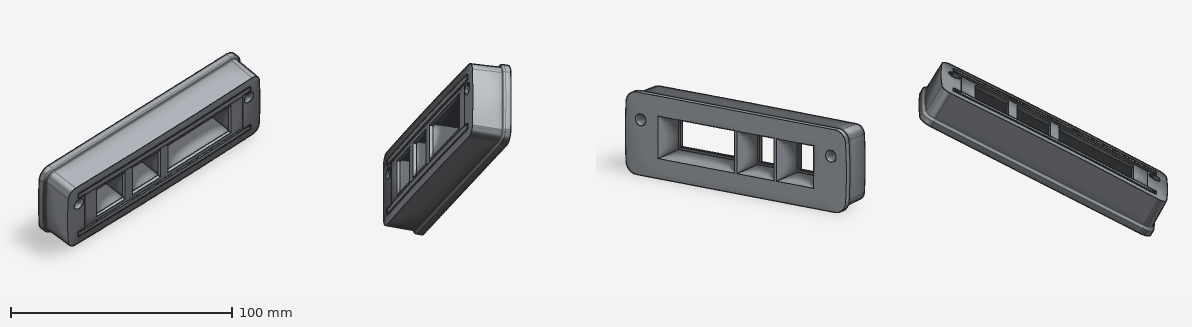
import cadquery as cq
import math

LENGTH = 120.0
HEIGHT = 39.0
DEPTH = 19.0

FLANGE_DEPTH = 3.6
FLANGE_ROUND = 1.0
CORNER_RADIUS = 5.8
END_BULGE = 0.8
BODY_INSET = 1.3
BODY_COVE = 0.3
BODY_DRAFT = 1.2

STRIP_RISE = 0.5
CROWN_TOP = DEPTH - STRIP_RISE
CROWN_DROP = 0.6
STRIP_LENGTH = 104.4
STRIP_INNER_Z = 10.7
STRIP_OUTER_Z = 13.5
RECESS_LENGTH = 96.0
RECESS_DEPTH = 0.4

POCKET_HEIGHT = 20.0
ROW_LENGTH = 84.4
POCKET_GAP = 1.5
LEDGE_X = 16.3
LEDGE_WIDTH = 1.5
WALL_SLOPE = 0.2
PARTITION_SLOPE = 0.8
LONG_POCKET_LENGTH = ROW_LENGTH - 2 * (POCKET_HEIGHT + POCKET_GAP)
POCKET_LENGTHS = (LONG_POCKET_LENGTH, POCKET_HEIGHT, POCKET_HEIGHT)
LOW_WALL_SLOPES = (PARTITION_SLOPE, PARTITION_SLOPE, WALL_SLOPE)

HOLE_DIAMETER = 5.6
HOLE_Y = 51.6
HOLE_Z = 6.7


def bulged_prism(start_x, depth, inset, draft=None):
    """Rounded slab with flat long sides and outward-curved ends."""
    end_y = LENGTH / 2 - inset
    corner_y = end_y - END_BULGE
    top_z = HEIGHT / 2 - inset
    outline = (
        cq.Workplane("YZ", origin=(start_x, 0, 0))
        .moveTo(-corner_y, top_z)
        .lineTo(corner_y, top_z)
        .threePointArc((end_y, 0), (corner_y, -top_z))
        .lineTo(-corner_y, -top_z)
        .threePointArc((-end_y, 0), (-corner_y, top_z))
        .close()
    )
    slab = outline.extrude(depth, taper=draft)
    front_to_back = slab.edges("not(<X or >X)")
    return front_to_back.fillet(CORNER_RADIUS - inset)


def crowned_block(length, low_z, high_z, offset):
    """Block from the front plane to the back crown, shifted by offset along X."""
    half_length = length / 2
    crown_radius = ((LENGTH / 2) ** 2 + CROWN_DROP**2) / (2 * CROWN_DROP)
    top_x = CROWN_TOP + offset
    end_x = top_x - crown_radius + math.sqrt(crown_radius**2 - half_length**2)
    return (
        cq.Workplane("XY", origin=(0, 0, low_z))
        .moveTo(0, -half_length)
        .lineTo(end_x, -half_length)
        .threePointArc((top_x, 0), (end_x, half_length))
        .lineTo(0, half_length)
        .close()
        .extrude(high_z - low_z)
    )


def make_shell():
    """Flange and crowned body with the strips and recess on the back."""
    flange = bulged_prism(0, FLANGE_DEPTH, 0).faces(">X").edges().fillet(FLANGE_ROUND)
    body = bulged_prism(FLANGE_DEPTH, DEPTH - FLANGE_DEPTH, BODY_INSET, BODY_DRAFT)
    body = body.intersect(crowned_block(LENGTH, -HEIGHT / 2, HEIGHT / 2, 0))
    recess = (
        cq.Workplane("XY")
        .box(DEPTH, RECESS_LENGTH, 2 * STRIP_INNER_Z, centered=(False, True, True))
        .cut(crowned_block(LENGTH, -STRIP_INNER_Z, STRIP_INNER_Z, -RECESS_DEPTH))
    )
    shell = flange.union(body)
    shoulder = shell.faces("+X").faces("<X")
    body_root = shoulder.val().innerWires()[0].Edges()
    shell = shell.newObject(body_root).fillet(BODY_COVE).cut(recess)
    for low_z in (STRIP_INNER_Z, -STRIP_OUTER_Z):
        high_z = low_z + STRIP_OUTER_Z - STRIP_INNER_Z
        shell = shell.union(crowned_block(STRIP_LENGTH, low_z, high_z, STRIP_RISE))
    return shell


def pocket_cutter(high_y, length, low_wall_slope):
    """Pocket narrowing to its ledge, plus the window through the back."""
    low_y = high_y - length
    floor_low_y = low_y + low_wall_slope
    floor_high_y = high_y - WALL_SLOPE
    pocket = (
        cq.Workplane("YZ")
        .center((low_y + high_y) / 2, 0)
        .rect(length, POCKET_HEIGHT)
        .workplane(offset=LEDGE_X)
        .center((floor_low_y + floor_high_y - low_y - high_y) / 2, 0)
        .rect(floor_high_y - floor_low_y, POCKET_HEIGHT - 2 * WALL_SLOPE)
        .loft(ruled=True)
    )
    window = (
        cq.Workplane("YZ")
        .center((low_y + high_y) / 2, 0)
        .rect(length - 2 * LEDGE_WIDTH, POCKET_HEIGHT - 2 * LEDGE_WIDTH)
        .extrude(DEPTH)
    )
    return pocket.union(window)


result = make_shell()

pocket_start_y = ROW_LENGTH / 2
for pocket_length, slope in zip(POCKET_LENGTHS, LOW_WALL_SLOPES):
    result = result.cut(pocket_cutter(pocket_start_y, pocket_length, slope))
    pocket_start_y -= pocket_length + POCKET_GAP

screw_holes = (
    cq.Workplane("YZ")
    .pushPoints([(-HOLE_Y, HOLE_Z), (HOLE_Y, HOLE_Z)])
    .circle(HOLE_DIAMETER / 2)
    .extrude(DEPTH)
)
result = result.cut(screw_holes)